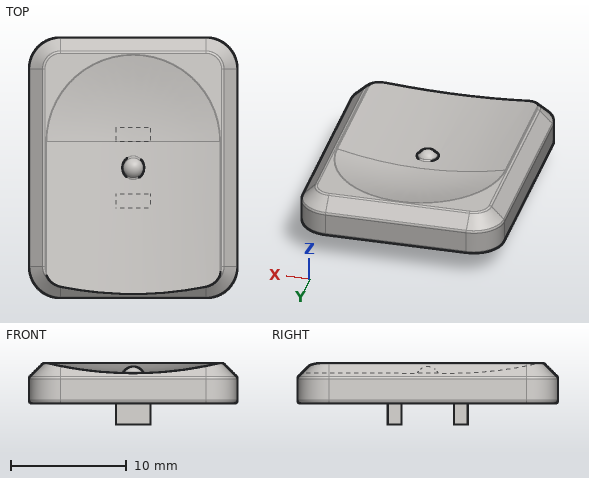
import cadquery as cq
import math

body_width = 18.0
body_length = 22.5
body_height = 3.5
corner_radius = 2.75
bevel_size = 1.25
bevel_edge_radius = 0.3
bottom_edge_radius = 0.3

dish_half_width = 7.5
dish_depth = 0.9
dish_center_y = 2.25
dish_rim_radius = 0.3
dish_clearance = 1.12

dome_sphere_radius = 1.0
dome_height = 0.58
dome_root_radius = 0.2
dome_embed = 0.22

foot_width = 3.0
foot_thickness = 1.2
foot_height = 1.82
foot_spacing = 5.72

dish_floor_z = body_height - dish_depth
dish_sphere_radius = (dish_half_width**2 + dish_depth**2) / (2 * dish_depth)


def point_on_arc(center, radius, angle):
    """Point at the given angle in radians, measured from the local x axis."""
    return (center[0] + radius * math.cos(angle), center[1] + radius * math.sin(angle))


def blend_center_offset(sphere_radius, cap_height, blend_radius):
    """Axis distance of a blend circle touching both a spherical cap and its flat base."""
    to_sphere_center = sphere_radius + blend_radius
    above_sphere_center = sphere_radius - cap_height + blend_radius
    return math.sqrt(to_sphere_center**2 - above_sphere_center**2)


def make_body():
    bevel_bottom_z = body_height - bevel_size
    body = (
        cq.Workplane("XY")
        .rect(body_width, body_length)
        .extrude(body_height)
        .edges("|Z")
        .fillet(corner_radius)
        .faces(">Z")
        .chamfer(bevel_size)
    )
    body = body.faces("<Z").edges().fillet(bottom_edge_radius)
    bevel_bottom = cq.selectors.BoxSelector(
        (-body_width, -body_length, bevel_bottom_z - bevel_edge_radius / 2),
        (body_width, body_length, bevel_bottom_z + bevel_edge_radius / 2),
    )
    body = body.edges(bevel_bottom).fillet(bevel_edge_radius)
    return body.faces(">Z").edges().fillet(bevel_edge_radius)


def half_cap_profile(plane, sphere_radius, cap_height, blend_radius, flat_height):
    """Half section of a spherical cap flaring through a blend onto a flat base.

    The cap apex lies at local (0, cap_height), its base at local y = 0, and
    material of thickness flat_height is kept below the base.
    """
    sphere_center = (0, cap_height - sphere_radius)
    blend_x = blend_center_offset(sphere_radius, cap_height, blend_radius)
    blend_center = (blend_x, blend_radius)
    join_angle = math.atan2(blend_center[1] - sphere_center[1], blend_x)
    cap_middle = point_on_arc(sphere_center, sphere_radius, (join_angle + math.pi / 2) / 2)
    cap_end = point_on_arc(sphere_center, sphere_radius, join_angle)
    blend_start_angle = join_angle + math.pi
    blend_end_angle = 1.5 * math.pi
    blend_middle_angle = (blend_start_angle + blend_end_angle) / 2
    blend_middle = point_on_arc(blend_center, blend_radius, blend_middle_angle)
    return (
        cq.Workplane(plane)
        .moveTo(0, cap_height)
        .threePointArc(cap_middle, cap_end)
        .threePointArc(blend_middle, (blend_x, 0))
        .lineTo(blend_x, -flat_height)
        .lineTo(0, -flat_height)
        .close()
    )


def half_dish_section():
    """Half section of the dish cutter; local y points down, so the cap becomes a hollow."""
    plane = cq.Plane(origin=(0, dish_center_y, body_height), xDir=(1, 0, 0), normal=(0, 1, 0))
    return half_cap_profile(plane, dish_sphere_radius, dish_depth, dish_rim_radius, dish_clearance)


def make_dish_cutter():
    front_length = dish_center_y + body_length / 2 + dish_clearance
    right_half = half_dish_section().extrude(-front_length)
    left_half = right_half.mirror("YZ")
    round_back = half_dish_section().revolve(180, (0, 0), (0, -1))
    return round_back.union(right_half).union(left_half)


def make_dome():
    plane = cq.Plane(origin=(0, 0, dish_floor_z), xDir=(1, 0, 0), normal=(0, -1, 0))
    profile = half_cap_profile(plane, dome_sphere_radius, dome_height, dome_root_radius, dome_embed)
    return profile.revolve(360, (0, 0), (0, 1))


def make_feet():
    return (
        cq.Workplane("XY")
        .pushPoints([(0, -foot_spacing / 2), (0, foot_spacing / 2)])
        .rect(foot_width, foot_thickness)
        .extrude(-foot_height)
    )


result = make_body().cut(make_dish_cutter()).union(make_dome()).union(make_feet())